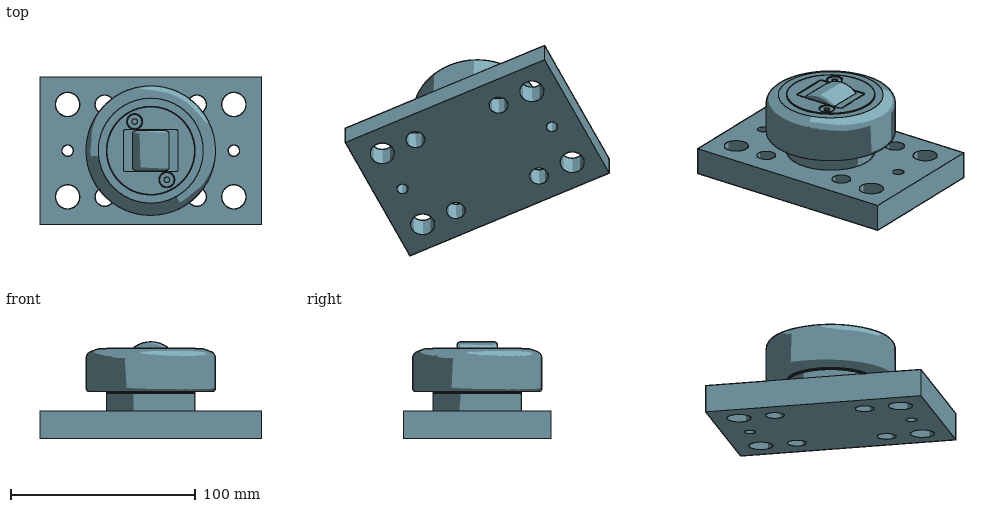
import cadquery as cq
import math

PLATE_LENGTH = 120.0
PLATE_WIDTH = 80.0
PLATE_THICKNESS = 15.0
OUTER_HOLE_DIAMETER = 13.0
OUTER_HOLE_X = 45.0
INNER_HOLE_DIAMETER = 10.11
INNER_HOLE_X = 25.0
HOLE_ROW_Y = 25.0
PIN_HOLE_DIAMETER = 6.0

HUB_DIAMETER = 48.0
HUB_TOP_Z = 49.2
HUB_CHAMFER = 0.3
NECK_GROOVE_DEPTH = 0.4
NECK_GROOVE_BOTTOM_Z = 24.4
NECK_GROOVE_TOP_Z = 25.0

RING_DIAMETER = 70.1
RING_BOTTOM_Z = 25.5
RING_TOP_Z = 48.7
RING_BOTTOM_FILLET = 1.7
RING_CONE_TOP_DIAMETER = 56.8
RING_CONE_ANGLE = 20.0
RING_SHOULDER_FILLET = 4.0

OVERALL_HEIGHT = 52.5
ROLLER_RADIUS = 15.0
ROLLER_LENGTH = 22.0
ROLLER_FILLET = 2.0
WINDOW_LENGTH = 29.5
WINDOW_WIDTH = 22.7
WINDOW_DEPTH = 0.5
WINDOW_CORNER_RADIUS = 1.0

SCREW_CIRCLE_RADIUS = 18.0
SCREW_ANGLES = (119.0, 299.0)
SCREW_HEAD_DIAMETER = 7.8
SCREW_RIM_CHAMFER = 0.4
SCREW_SOCKET_DIAMETER = 3.0
SCREW_SOCKET_DEPTH = 0.5


def disc(diameter, bottom_z, top_z):
    """Vertical cylinder centred on the Z axis."""
    return cq.Workplane("XY").workplane(offset=bottom_z).circle(diameter / 2).extrude(top_z - bottom_z)


def make_plate():
    plate = cq.Workplane("XY").box(PLATE_LENGTH, PLATE_WIDTH, PLATE_THICKNESS, centered=(True, True, False))
    hole_rows = (
        (OUTER_HOLE_DIAMETER, OUTER_HOLE_X, HOLE_ROW_Y),
        (INNER_HOLE_DIAMETER, INNER_HOLE_X, HOLE_ROW_Y),
        (PIN_HOLE_DIAMETER, OUTER_HOLE_X, 0.0),
    )
    for diameter, x, y in hole_rows:
        centres = {(side * x, end * y) for side in (-1, 1) for end in (-1, 1)}
        plate = plate.faces(">Z").workplane(origin=(0, 0, 0)).pushPoints(sorted(centres)).hole(diameter)
    return plate


def make_hub():
    hub = disc(HUB_DIAMETER, PLATE_THICKNESS, HUB_TOP_Z).faces(">Z").edges().chamfer(HUB_CHAMFER)
    groove = disc(HUB_DIAMETER, NECK_GROOVE_BOTTOM_Z, NECK_GROOVE_TOP_Z).cut(
        disc(HUB_DIAMETER - 2 * NECK_GROOVE_DEPTH, NECK_GROOVE_BOTTOM_Z, NECK_GROOVE_TOP_Z)
    )
    return hub.cut(groove)


def make_ring():
    """Revolved ring: filleted lower edge, straight side and a shallow cone on top with a rounded shoulder."""
    radius = RING_DIAMETER / 2
    cone_top_radius = RING_CONE_TOP_DIAMETER / 2
    cone_drop = (radius - cone_top_radius) * math.tan(math.radians(RING_CONE_ANGLE))
    shoulder_z = RING_TOP_Z - cone_drop
    blank = (
        cq.Workplane("XZ")
        .moveTo(0, RING_BOTTOM_Z)
        .lineTo(radius, RING_BOTTOM_Z)
        .lineTo(radius, shoulder_z)
        .lineTo(cone_top_radius, RING_TOP_Z)
        .lineTo(0, RING_TOP_Z)
        .close()
        .revolve(360, (0, 0, 0), (0, 1, 0))
    )
    rounded_shoulder = blank.edges("%CIRCLE").edges("not(<Z or >Z)").fillet(RING_SHOULDER_FILLET)
    return rounded_shoulder.faces("<Z").edges().fillet(RING_BOTTOM_FILLET)


def make_window():
    return (
        cq.Workplane("XY")
        .workplane(offset=HUB_TOP_Z - WINDOW_DEPTH)
        .rect(WINDOW_LENGTH, WINDOW_WIDTH)
        .extrude(WINDOW_DEPTH)
        .edges("|Z")
        .fillet(WINDOW_CORNER_RADIUS)
    )


def make_roller():
    return (
        cq.Workplane("XZ")
        .center(0, OVERALL_HEIGHT - ROLLER_RADIUS)
        .circle(ROLLER_RADIUS)
        .extrude(ROLLER_LENGTH / 2, both=True)
        .edges()
        .fillet(ROLLER_FILLET)
    )


def make_screw_recess(angle):
    """Conical rim down to the screw head, with a round socket in the head."""
    x = SCREW_CIRCLE_RADIUS * math.cos(math.radians(angle))
    y = SCREW_CIRCLE_RADIUS * math.sin(math.radians(angle))
    head_z = HUB_TOP_Z - SCREW_RIM_CHAMFER
    head_radius = SCREW_HEAD_DIAMETER / 2
    rim = cq.Solid.makeCone(head_radius, head_radius + SCREW_RIM_CHAMFER, SCREW_RIM_CHAMFER)
    socket = disc(SCREW_SOCKET_DIAMETER, head_z - SCREW_SOCKET_DEPTH, head_z)
    return socket.union(cq.Workplane(rim.moved(cq.Location(cq.Vector(0, 0, head_z))))).translate((x, y, 0))


result = make_plate().union(make_hub()).union(make_ring()).cut(make_window())
for screw_angle in SCREW_ANGLES:
    result = result.cut(make_screw_recess(screw_angle))
result = result.union(make_roller())